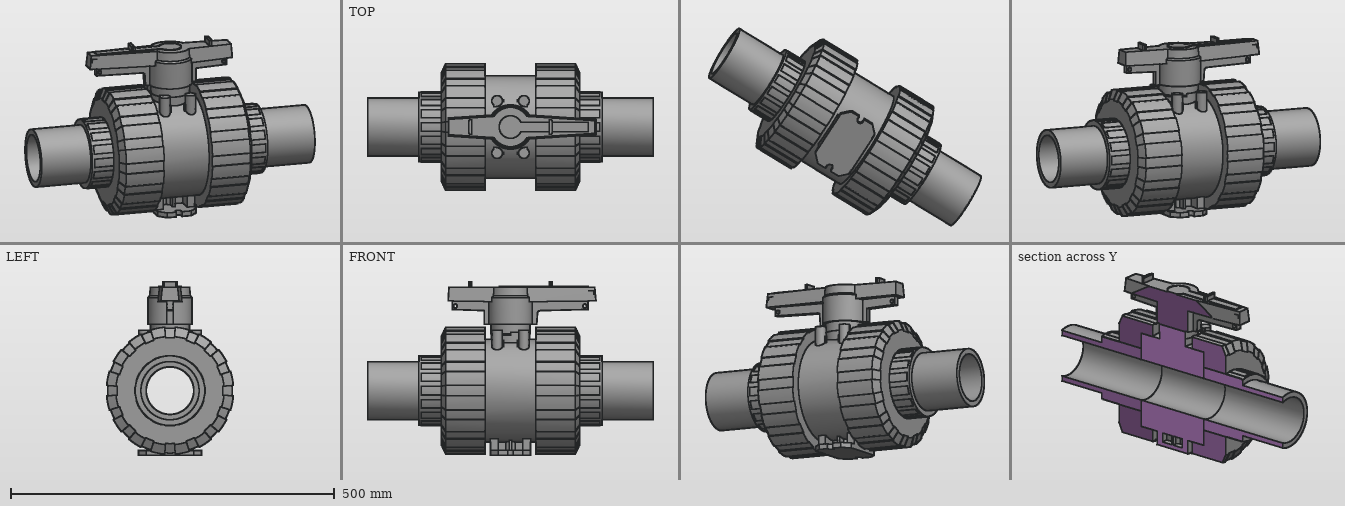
import cadquery as cq
import math


overall_length = 441.0
pipe_radius = 45.0
bore_radius = 36.6

body_radius = 79.5
body_half_length = 63.0

nut_inner_x = 39.0
nut_outer_x = 107.0
nut_lobe_radius = 98.28
nut_lobe_face_radius = 83.6
nut_chamfer_length = 7.0
nut_groove_depth = 1.9
nut_groove_count = 16
nut_groove_half_angle = 4.77

collar_end_x = 141.5
collar_radius = 53.8
pad_end_x = 138.0
pad_height = 0.5
pad_count = 16
pad_half_angle = 7.1

neck_radius = 29.9
neck_rim_radius = 30.3
neck_ledge_radius = 30.1
neck_rim_bottom_z = 87.9
neck_ledge_bottom_z = 85.4
neck_notch_top_z = 90.3

post_radius = 8.2
post_x = 20.7
post_y = 40.3
post_top_z = 93.3
post_rib_inner_y = 31.5
post_rib_x = (21.0, 26.0)
post_lug_inner_x = 10.8
post_lug_width = 3.0
post_lug_top_z = 78.0

foot_bottom_z = -100.0
foot_thickness = 7.8
foot_length_x = 62.2
foot_length_y = 97.6
foot_corner = 12.0
foot_slot_radius = 4.6
foot_rail_length = 56.6
foot_web_thickness = 10.0
foot_column_radius = 8.8
foot_rib_thickness = 4.0
foot_rib_length = 42.0

handle_bottom_z = 102.5
handle_top_z = 159.8
hub_radius = 34.3
hub_shoulder_z = 143.4
hub_neck_z = 146.2
hub_neck_radius = 31.8
hub_top_radius = 30.5

arm_left_x = (-96.6, -95.2)
arm_right_x = (132.3, 130.2)
arm_left_half_width = (14.2, 11.8)
arm_right_half_width = (11.7, 9.7)
arm_middle_half_width = (20.5, 18.0)
arm_end_bottom_z = 138.6
arm_middle_bottom_z = 137.0

rib_thickness = 10.0
rib_left_x = -90.0
rib_right_x = 120.0
rib_end_bottom_z = 125.2
rib_web_bottom_z = 123.4
web_left_x = -40.7
web_right_x = 40.7
web_right_top_x = 41.9
web_fillet = 4.0
eyelet_radius = 2.8
eyelet_z = 130.7
eyelet_positions_x = (-85.1, 114.9)

tab_x = 62.3
tab_thickness = 4.8
tab_width = 23.0
tab_top_z = 168.4
tab_corner = (2.0, 2.6)

insert_x = (100.0, 128.5)
insert_half_width = 10.8
insert_top_z = 154.3

inlay_height = 1.2
inlay_radius = 17.5
inlay_half_width = 7.5
inlay_end_x = 120.4

overlap = 1.0


def x_cylinder(radius, x_start, x_end):
    return cq.Workplane("YZ").workplane(offset=x_start).circle(radius).extrude(x_end - x_start)


def z_cylinder(radius, z_start, z_end, x=0.0, y=0.0):
    return cq.Workplane("XY", origin=(x, y, z_start)).circle(radius).extrude(z_end - z_start)


def box_between(corner_a, corner_b):
    sizes = [abs(b - a) for a, b in zip(corner_a, corner_b)]
    middle = tuple((a + b) / 2 for a, b in zip(corner_a, corner_b))
    return cq.Workplane("XY").box(*sizes).translate(middle)


def x_sector(radius, half_angle, x_start, x_end):
    """Pie slice around the X axis, centred on +Y."""
    angle = math.radians(half_angle)
    y, z = radius * math.cos(angle), radius * math.sin(angle)
    return (
        cq.Workplane("YZ").workplane(offset=x_start)
        .lineTo(y, -z).threePointArc((radius, 0), (y, z)).close()
        .extrude(x_end - x_start)
    )


def rotate_about_x(shape, angle):
    return shape.rotate((0, 0, 0), (1, 0, 0), angle)


def both_ends(shape):
    """The +X copy and its half-turn copy on the -X side."""
    return [shape, shape.rotate((0, 0, 0), (0, 0, 1), 180)]


def make_neck():
    neck = z_cylinder(neck_radius, 0, handle_bottom_z)
    rim = z_cylinder(neck_rim_radius, neck_rim_bottom_z, handle_bottom_z)
    stop_notch = box_between(
        (0, 0, neck_rim_bottom_z),
        (neck_rim_radius, -neck_rim_radius, neck_notch_top_z),
    )
    ledge = z_cylinder(neck_ledge_radius, neck_ledge_bottom_z, neck_rim_bottom_z)
    ledge_quarter = ledge.intersect(box_between(
        (0, 0, neck_ledge_bottom_z),
        (-neck_rim_radius, -neck_rim_radius, neck_rim_bottom_z),
    ))
    return neck.union(rim.cut(stop_notch)).union(ledge_quarter)


def make_post(side_x, side_y):
    """Mounting post with a full-height rib towards Y = 0 and a low lug towards X = 0."""
    x, y = side_x * post_x, side_y * post_y
    root_z = (bore_radius + body_radius) / 2
    post = z_cylinder(post_radius, root_z, post_top_z, x, y)
    rib = box_between(
        (side_x * post_rib_x[0], side_y * post_rib_inner_y, root_z),
        (side_x * post_rib_x[1], y, post_top_z),
    )
    lug = box_between(
        (side_x * post_lug_inner_x, y - post_lug_width / 2, root_z),
        (x, y + post_lug_width / 2, post_lug_top_z),
    )
    return post.union(rib).union(lug)


def make_foot():
    """Chamfered base plate carried by two rails, a cross web and a ribbed centre column."""
    plate_top_z = foot_bottom_z + foot_thickness
    half_x, half_y = foot_length_x / 2, foot_length_y / 2
    plate = (
        cq.Workplane("XY", origin=(0, 0, foot_bottom_z))
        .rect(foot_length_x, foot_length_y).extrude(foot_thickness)
        .edges("|Z").chamfer(foot_corner)
    )
    for side in (-1, 1):
        slot_end = side * (half_y - foot_slot_radius)
        plate = plate.cut(z_cylinder(foot_slot_radius, foot_bottom_z, plate_top_z, 0, slot_end))
        plate = plate.cut(box_between(
            (-foot_slot_radius, slot_end, foot_bottom_z),
            (foot_slot_radius, side * half_y, plate_top_z),
        ))

    root_z = -(bore_radius + body_radius) / 2
    support_bottom_z = plate_top_z - overlap
    foot = plate
    for side in (-1, 1):
        foot = foot.union(box_between(
            (side * (half_x - foot_corner), -foot_rail_length / 2, support_bottom_z),
            (side * half_x, foot_rail_length / 2, root_z),
        ))
    foot = foot.union(box_between(
        (-half_x + overlap, -foot_web_thickness / 2, support_bottom_z),
        (half_x - overlap, foot_web_thickness / 2, root_z),
    ))
    foot = foot.union(z_cylinder(foot_column_radius, support_bottom_z, root_z))
    return foot.union(box_between(
        (-foot_rib_thickness / 2, -foot_rib_length / 2, support_bottom_z),
        (foot_rib_thickness / 2, foot_rib_length / 2, root_z),
    ))


def make_valve_body():
    body = x_cylinder(body_radius, -body_half_length, body_half_length)
    body = body.union(make_neck()).union(make_foot())
    for side_x in (-1, 1):
        for side_y in (-1, 1):
            body = body.union(make_post(side_x, side_y))
    return body.cut(x_cylinder(bore_radius, -body_half_length, body_half_length))


def make_nut_blank(outer_radius, face_radius):
    return (
        cq.Workplane("XY")
        .moveTo(nut_inner_x, 0)
        .lineTo(nut_inner_x, outer_radius)
        .lineTo(nut_outer_x - nut_chamfer_length, outer_radius)
        .lineTo(nut_outer_x, face_radius)
        .lineTo(nut_outer_x, 0)
        .close()
        .revolve(360, (0, 0, 0), (1, 0, 0))
    )


def make_union_nut():
    pitch = 360 / nut_groove_count
    nut = make_nut_blank(nut_lobe_radius, nut_lobe_face_radius)
    core = make_nut_blank(nut_lobe_radius - nut_groove_depth, nut_lobe_face_radius - nut_groove_depth)
    groove_reach = nut_lobe_radius + overlap
    groove = x_sector(groove_reach, nut_groove_half_angle, nut_inner_x, nut_outer_x).cut(core)
    for index in range(nut_groove_count):
        nut = nut.cut(rotate_about_x(groove, index * pitch))
    nut = nut.cut(x_cylinder(body_radius, nut_inner_x, body_half_length))
    return nut.cut(x_cylinder(collar_radius, body_half_length, nut_outer_x))


def make_end_connector():
    connector = x_cylinder(collar_radius, body_half_length, collar_end_x)
    connector = connector.union(x_cylinder(pipe_radius, body_half_length, overall_length / 2))
    pad = x_sector(collar_radius + pad_height, pad_half_angle, nut_outer_x, pad_end_x)
    for index in range(pad_count):
        connector = connector.union(rotate_about_x(pad, index * 360 / pad_count))
    return connector.cut(x_cylinder(bore_radius, body_half_length, overall_length / 2))


def make_hub():
    return (
        cq.Workplane("XZ")
        .moveTo(0, handle_bottom_z)
        .lineTo(hub_radius, handle_bottom_z)
        .lineTo(hub_radius, hub_shoulder_z)
        .lineTo(hub_neck_radius, hub_neck_z)
        .lineTo(hub_top_radius, handle_top_z)
        .lineTo(0, handle_top_z)
        .close()
        .revolve(360, (0, 0, 0), (0, 1, 0))
    )


def arm_outline(level):
    """Plan of the two tapering arms; level 0 is the bottom, level 1 the top."""
    half_outline = [
        (arm_left_x[level], arm_left_half_width[level]),
        (0, arm_middle_half_width[level]),
        (arm_right_x[level], arm_right_half_width[level]),
    ]
    return half_outline + [(x, -y) for x, y in reversed(half_outline)]


def make_arms():
    arms = (
        cq.Workplane("XY").workplane(offset=arm_middle_bottom_z)
        .polyline(arm_outline(0)).close()
        .workplane(offset=handle_top_z - arm_middle_bottom_z)
        .polyline(arm_outline(1)).close()
        .loft(ruled=True)
    )
    for end_x in (arm_left_x[0], arm_right_x[0]):
        underside_relief = (
            cq.Workplane("XZ")
            .polyline([(0, arm_middle_bottom_z), (end_x, arm_middle_bottom_z), (end_x, arm_end_bottom_z)])
            .close()
            .extrude(arm_middle_half_width[0], both=True)
        )
        arms = arms.cut(underside_relief)
    return arms


def make_rib():
    """Upright rib below the arms, with a deeper web across the hub and an eyelet at each end."""
    rib_top_z = arm_end_bottom_z + overlap
    rib = (
        cq.Workplane("XZ")
        .moveTo(rib_left_x, rib_top_z)
        .lineTo(rib_left_x, rib_end_bottom_z)
        .lineTo(web_left_x, rib_web_bottom_z)
        .lineTo(web_left_x, handle_bottom_z)
        .lineTo(web_right_x, handle_bottom_z)
        .lineTo(web_right_top_x, rib_web_bottom_z - web_fillet)
        .radiusArc((web_right_top_x + web_fillet, rib_web_bottom_z), web_fillet)
        .lineTo(rib_right_x, rib_end_bottom_z)
        .lineTo(rib_right_x, rib_top_z)
        .close()
        .extrude(rib_thickness / 2, both=True)
    )
    eyelets = (
        cq.Workplane("XZ")
        .pushPoints([(x, eyelet_z) for x in eyelet_positions_x])
        .circle(eyelet_radius)
        .extrude(rib_thickness, both=True)
    )
    return rib.cut(eyelets)


def make_tab():
    """Upright tab on the +X arm with its two outboard corners bevelled."""
    inner_x = tab_x - tab_thickness / 2
    outer_x = tab_x + tab_thickness / 2
    half_width = tab_width / 2
    bevel_x, bevel_y = tab_corner
    half_outline = [
        (inner_x, half_width),
        (outer_x - bevel_x, half_width),
        (outer_x, half_width - bevel_y),
    ]
    outline = half_outline + [(x, -y) for x, y in reversed(half_outline)]
    base_z = handle_top_z - overlap
    return cq.Workplane("XY", origin=(0, 0, base_z)).polyline(outline).close().extrude(tab_top_z - base_z)


def make_insert():
    """Straight-sided insert in the +X arm; its upper outer corners break through the tapering sides."""
    return box_between(
        (insert_x[0], -insert_half_width, arm_end_bottom_z + overlap),
        (insert_x[1], insert_half_width, insert_top_z),
    )


def make_inlay():
    """Raised keyhole-shaped panel on top of the handle."""
    base_z = handle_top_z - overlap
    top_z = handle_top_z + inlay_height
    disc = z_cylinder(inlay_radius, base_z, top_z)
    return disc.union(box_between((0, -inlay_half_width, base_z), (inlay_end_x, inlay_half_width, top_z)))


def make_handle():
    handle = make_hub().union(make_arms()).union(make_rib()).union(make_insert()).union(make_inlay())
    for tab in both_ends(make_tab()):
        handle = handle.union(tab)
    return handle


valve_body = make_valve_body()
union_nuts = both_ends(make_union_nut())
end_connectors = both_ends(make_end_connector())
handle = make_handle()

result = cq.Compound.makeCompound([
    valve_body.val(),
    *[nut.val() for nut in union_nuts],
    *[connector.val() for connector in end_connectors],
    handle.val(),
])